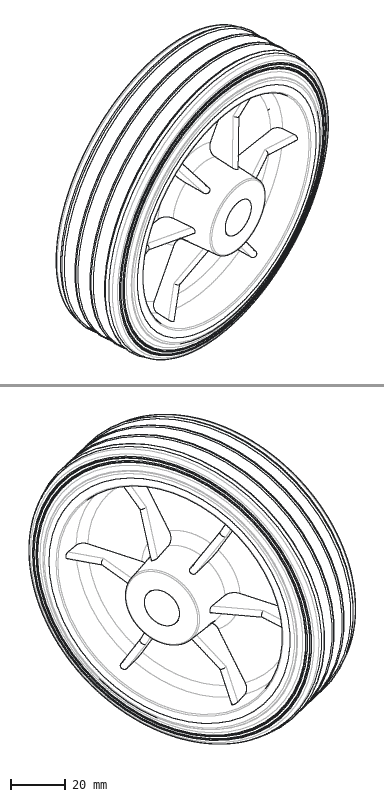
import cadquery as cq
import math


face_x = 16.5
seam_radius = 51.4

bore_radius = 7.5
hub_end_x = 22.0
hub_tip_radius = 15.8
hub_root_radius = 17.1
hub_edge_round = 0.5
hub_root_fillet = 4.1
web_half_thickness = 1.0
wall_root_radius = 47.0
wall_mouth_radius = 47.9
wall_root_fillet = 3.2
wall_mouth_round = 0.5

ribs_per_side = 6
rib_round = 1.4
rib_inner_radius = 12.5
rib_low_radius = 34.0
rib_outer_radius = 49.4
rib_inner_x = 16.2
rib_low_x = 7.8
rib_outer_x = 11.1

tyre_radius = 62.5
crown_radius = 62.2
tread_edge_radius = 61.6
tread_edge_x = 14.4
bead_outer_radius = 53.8
bead_step_x = 15.2
bead_step_radius = bead_outer_radius + face_x - bead_step_x
bead_edge_round = 1.1
bead_step_fillet = 3.0
shoulder_round = 1.5

inner_tread_ridge_x = 3.6
outer_tread_ridge_x = 10.4
tread_ridge_half_width = 0.8
outer_tread_ridge_flank = 1.1
wall_ridge_radii = (57.5, 59.1)
wall_ridge_half_width = 0.4
wall_ridge_height = 0.19
ridge_root_depth = 0.4

radius_tolerance = 0.01


def revolve_about_x(outline):
    return outline.revolve(360, (0, 0), (1, 0))


def round_rings(body, ring_radius, round_radius):
    """Round every circular edge that has the given radius."""
    def matches(edge):
        return edge.geomType() == "CIRCLE" and abs(edge.radius() - ring_radius) < radius_tolerance

    return body.edges().filter(matches).fillet(round_radius)


def make_rim_body():
    half = [
        (0, bore_radius),
        (hub_end_x, bore_radius),
        (hub_end_x, hub_tip_radius),
        (web_half_thickness, hub_root_radius),
        (web_half_thickness, wall_root_radius),
        (face_x, wall_mouth_radius),
        (face_x, seam_radius),
        (0, seam_radius),
    ]
    body = revolve_about_x(cq.Workplane("XY").polyline(half).mirrorY())
    body = round_rings(body, hub_tip_radius, hub_edge_round)
    body = round_rings(body, hub_root_radius, hub_root_fillet)
    body = round_rings(body, wall_root_radius, wall_root_fillet)
    return round_rings(body, wall_mouth_radius, wall_mouth_round)


def make_rib(side):
    """One rib along +Y on the given side of the web, with a half-round ridge."""
    round_axis = [
        (side * (rib_inner_x - rib_round), rib_inner_radius),
        (side * (rib_low_x - rib_round), rib_low_radius),
        (side * (rib_outer_x - rib_round), rib_outer_radius),
    ]
    outline = [(0, rib_inner_radius), *round_axis, (0, rib_outer_radius)]
    plate = cq.Workplane("XY").polyline(outline).close().extrude(rib_round, both=True)
    start = cq.Vector(*round_axis[0])
    start_plane = cq.Plane(origin=start, normal=cq.Vector(*round_axis[1]) - start)
    path = cq.Workplane("XY").polyline(round_axis)
    ridge = cq.Workplane(start_plane).circle(rib_round).sweep(path, transition="right")
    return plate.union(ridge)


def make_rim():
    rim = make_rim_body()
    for side in (-1, 1):
        rib = make_rib(side)
        for index in range(ribs_per_side):
            angle = 360 / ribs_per_side * index
            rim = rim.union(rib.rotate((0, 0, 0), (1, 0, 0), angle))
    return rim


def make_tyre_body():
    flank = [
        (face_x, seam_radius),
        (face_x, bead_outer_radius),
        (bead_step_x, bead_step_radius),
        (tread_edge_x, tread_edge_radius),
    ]
    opposite_flank = [(-x, radius) for x, radius in reversed(flank)]
    outline = (
        cq.Workplane("XY")
        .polyline(flank)
        .threePointArc((0, crown_radius), opposite_flank[0])
        .polyline(opposite_flank, includeCurrent=False)
        .close()
    )
    body = revolve_about_x(outline)
    body = round_rings(body, bead_outer_radius, bead_edge_round)
    body = round_rings(body, bead_step_radius, bead_step_fillet)
    return round_rings(body, tread_edge_radius, shoulder_round)


def make_ridge(corners):
    return revolve_about_x(cq.Workplane("XY").polyline(corners).close())


def tread_radius_at(x):
    """Radius of the arched tread surface at a distance from the middle plane."""
    drop = crown_radius - tread_edge_radius
    arc_radius = (tread_edge_x**2 + drop**2) / (2 * drop)
    return crown_radius - arc_radius + math.sqrt(arc_radius**2 - x**2)


def make_tread_ridge(side, tip_x, flank_width):
    """A tread ridge whose slope facing the shoulder has the given width."""
    near_x = tip_x - tread_ridge_half_width
    far_x = tip_x + flank_width
    root_radius = tread_radius_at(far_x) - ridge_root_depth
    return make_ridge([
        (side * near_x, root_radius),
        (side * near_x, tread_radius_at(near_x)),
        (side * tip_x, tyre_radius),
        (side * far_x, tread_radius_at(far_x)),
        (side * far_x, root_radius),
    ])


def sidewall_x(radius):
    """Half width of the straight sidewall at a radius."""
    slope = (tread_edge_x - bead_step_x) / (tread_edge_radius - bead_step_radius)
    return bead_step_x + slope * (radius - bead_step_radius)


def make_wall_ridge(radius, side):
    lower = radius - wall_ridge_half_width
    upper = radius + wall_ridge_half_width
    root_x = sidewall_x(upper) - ridge_root_depth
    return make_ridge([
        (side * root_x, lower),
        (side * sidewall_x(lower), lower),
        (side * (sidewall_x(radius) + wall_ridge_height), radius),
        (side * sidewall_x(upper), upper),
        (side * root_x, upper),
    ])


def make_tyre():
    tyre = make_tyre_body()
    for side in (-1, 1):
        tyre = tyre.union(make_tread_ridge(side, inner_tread_ridge_x, tread_ridge_half_width))
        tyre = tyre.union(make_tread_ridge(side, outer_tread_ridge_x, outer_tread_ridge_flank))
        for radius in wall_ridge_radii:
            tyre = tyre.union(make_wall_ridge(radius, side))
    return tyre


rim = make_rim()
tyre = make_tyre()
result = cq.Compound.makeCompound([*rim.solids().vals(), *tyre.solids().vals()])